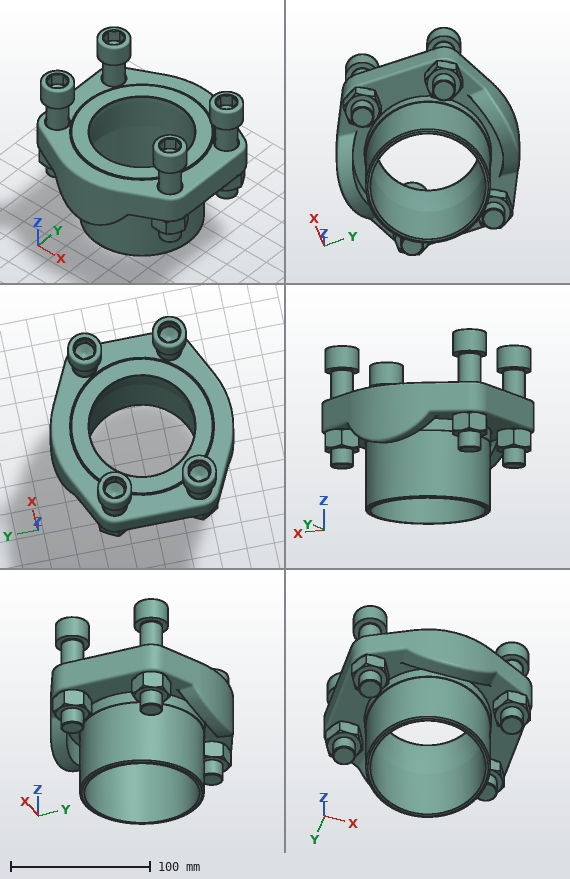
import cadquery as cq
import math

plate_top = 79.6
plate_thickness = 22.1
plate_bottom = plate_top - plate_thickness

flange_radius = 65.5
bolt_x = 53.2
bolt_y = 30.9
half_width = 67.5
corner_radius = half_width - bolt_x
bolt_hole_diameter = 17.0
bolt_hole_chamfer = 0.5
flange_bore_diameter = 91.0
edge_round = 2.0

lobe_radius = 41.6
lobe_bottom = 38.1
lobe_slope = 8.0
lobe_clearance_diameter = 108.0
lobe_root_round = 2.0
lobe_blank_length = 1.2 * flange_radius
rim_inner_radius = 62.8

collar_diameter = 101.7
collar_recess_diameter = 102.5
collar_thickness = 9.5
collar_chamfer = 0.4
collar_rise = 0.4
collar_bottom = plate_top - collar_thickness + collar_rise
neck_top = plate_top + collar_rise
neck_diameter = 90.0
tube_diameter = 89.0
tube_bore_diameter = 82.5
tube_top = 49.0
throat_diameter = 76.0
throat_length = 4.5
tube_chamfer_width = 1.4
tube_chamfer_height = 0.8

bolt_diameter = 16.0
bolt_length = 69.9
bolt_top = 118.7
head_diameter = 24.0
head_height = 16.0
head_bottom = bolt_top - head_height
bolt_bottom = head_bottom - bolt_length
head_round = 1.4
relief_diameter = 15.7
relief_height = 1.1
bolt_end_chamfer = 0.7
socket_width = 14.0
socket_depth = 9.5
socket_turn = 40.0
socket_cone_diameter = 14.3
socket_taper_angle = 30.0

nut_width = 24.0
nut_height = 13.0
nut_bottom = plate_bottom - nut_height
nut_chamfer_angle = 30.0

bolt_positions = [(sx * bolt_x, sy * bolt_y) for sx in (-1, 1) for sy in (-1, 1)]


def cylinder(diameter, bottom, top):
    """Vertical cylinder on the Z axis."""
    return cq.Workplane("XY").workplane(offset=bottom).circle(diameter / 2).extrude(top - bottom)


def cone(diameter, base, angle):
    """Cone on the Z axis, pointing down from a circular base at the given angle."""
    return (
        cq.Workplane("XZ")
        .moveTo(0, base)
        .lineTo(diameter / 2, base)
        .lineTo(0, base - diameter / 2 * math.tan(math.radians(angle)))
        .close()
        .revolve(360, (0, 0, 0), (0, 1, 0))
    )


def hexagon(width, bottom, top):
    """Hexagonal prism on the Z axis with two corners along X, sized across its flats."""
    base = cq.Workplane("XY").workplane(offset=bottom)
    return base.polygon(6, width_across_corners(width)).extrude(top - bottom)


def width_across_corners(width):
    """Distance between opposite corners of a hexagon with the given distance across flats."""
    return width / math.cos(math.radians(30))


def flange_outline():
    """Straight tangents joining the four corner arcs to the two large end arcs."""
    tangent = math.atan2(bolt_y, bolt_x) + math.acos(
        (flange_radius - corner_radius) / math.hypot(bolt_x, bolt_y)
    )
    end_x = flange_radius * math.cos(tangent)
    end_y = flange_radius * math.sin(tangent)
    corner_x = bolt_x + corner_radius * math.cos(tangent)
    corner_y = bolt_y + corner_radius * math.sin(tangent)
    middle_x = bolt_x + corner_radius * math.cos(tangent / 2)
    middle_y = bolt_y + corner_radius * math.sin(tangent / 2)
    return (
        cq.Workplane("XY", origin=(0, 0, lobe_bottom))
        .moveTo(-end_x, end_y)
        .threePointArc((0, flange_radius), (end_x, end_y))
        .lineTo(corner_x, corner_y)
        .threePointArc((middle_x, middle_y), (half_width, bolt_y))
        .lineTo(half_width, -bolt_y)
        .threePointArc((middle_x, -middle_y), (corner_x, -corner_y))
        .lineTo(end_x, -end_y)
        .threePointArc((0, -flange_radius), (-end_x, -end_y))
        .lineTo(-corner_x, -corner_y)
        .threePointArc((-middle_x, -middle_y), (-half_width, -bolt_y))
        .lineTo(-half_width, bolt_y)
        .threePointArc((-middle_x, middle_y), (-corner_x, corner_y))
        .close()
    )


def make_lobe():
    """Cylinder running toward +Y, tilted so that it hangs lowest at the flange edge."""
    slope = math.radians(lobe_slope)
    axis_height = lobe_bottom + lobe_radius / math.cos(slope) + flange_radius * math.tan(slope)
    level = cq.Workplane("XZ").circle(lobe_radius).extrude(-lobe_blank_length)
    return level.rotate((0, 0, 0), (1, 0, 0), -lobe_slope).translate((0, 0, axis_height))


def make_flange():
    """Plate with two lobes, rounded outside and bored for the weld neck and the bolts."""
    column = flange_outline().extrude(plate_top - lobe_bottom)
    slab = cylinder(4 * flange_radius, plate_bottom, plate_top)
    lobe = make_lobe()
    body = column.intersect(slab.union(lobe).union(lobe.mirror("XZ")))
    body = body.cut(cylinder(lobe_clearance_diameter, 0, plate_bottom))

    body = body.faces(">Z").edges().fillet(edge_round)
    body = round_low_edges(body, lobe_clearance_diameter / 2 + edge_round, rim_inner_radius, lobe_root_round)
    body = round_low_edges(body, rim_inner_radius, 2 * flange_radius, edge_round)

    body = body.cut(cylinder(flange_bore_diameter, plate_bottom, plate_top))
    body = body.cut(chamfered_hole(collar_recess_diameter, collar_bottom, collar_chamfer))
    bolt_hole = chamfered_hole(bolt_hole_diameter, plate_bottom, bolt_hole_chamfer)
    for x, y in bolt_positions:
        body = body.cut(bolt_hole.translate((x, y, 0)))
    return body


def chamfered_hole(diameter, bottom, chamfer):
    """Cutter for a hole that opens with a 45 degree chamfer at the top of the plate."""
    hole = cylinder(diameter, bottom, plate_top)
    return hole.union(cone(diameter + 2 * chamfer, plate_top, 45))


def round_low_edges(body, inner_radius, outer_radius, size):
    """Round the edges on the underside whose midpoint is between two distances from the Z axis."""
    edges = []
    for edge in body.edges().vals():
        middle = edge.positionAt(0.5)
        distance = math.hypot(middle.x, middle.y)
        if middle.z < plate_bottom + 0.01 and inner_radius < distance < outer_radius:
            edges.append(edge)
    return body.newObject(edges).fillet(size)


def make_weld_neck():
    """Collar, neck and tube in one piece, with a bore widening from the throat to the tube."""
    profile = (
        cq.Workplane("XZ")
        .moveTo(throat_diameter / 2 + collar_chamfer, neck_top)
        .lineTo(collar_diameter / 2 - collar_chamfer, neck_top)
        .lineTo(collar_diameter / 2, neck_top - collar_chamfer)
        .lineTo(collar_diameter / 2, collar_bottom)
        .lineTo(neck_diameter / 2, collar_bottom)
        .lineTo(neck_diameter / 2, tube_top)
        .lineTo(tube_diameter / 2, tube_top)
        .lineTo(tube_diameter / 2, tube_chamfer_height)
        .lineTo(tube_diameter / 2 - tube_chamfer_width, 0)
        .lineTo(tube_bore_diameter / 2, 0)
        .lineTo(tube_bore_diameter / 2, tube_top)
        .lineTo(throat_diameter / 2, neck_top - throat_length)
        .lineTo(throat_diameter / 2, neck_top - collar_chamfer)
        .close()
    )
    return profile.revolve(360, (0, 0, 0), (0, 1, 0))


def make_bolt(x, y):
    """Socket head bolt with its head on top and a shallow relief under the head."""
    relief_bottom = head_bottom - relief_height
    shank = cylinder(bolt_diameter, bolt_bottom, relief_bottom).faces("<Z").chamfer(bolt_end_chamfer)
    relief = cylinder(relief_diameter, relief_bottom, head_bottom)
    head = cylinder(head_diameter, head_bottom, bolt_top).faces(">Z").edges().fillet(head_round)

    socket_bottom = bolt_top - socket_depth
    socket = hexagon(socket_width, socket_bottom, bolt_top).rotate((0, 0, 0), (0, 0, 1), socket_turn)
    mouth = cone(width_across_corners(socket_width), bolt_top, socket_taper_angle)
    point = cone(socket_cone_diameter, socket_bottom, socket_taper_angle)

    bolt = head.union(relief).union(shank)
    return bolt.cut(socket).cut(mouth).cut(point).translate((x, y, 0))


def make_nut(x, y):
    """Hexagon nut against the plate underside, with its corners turned down at both ends."""
    tip_radius = width_across_corners(nut_width) / 2
    flat_radius = nut_width / 2
    drop = (tip_radius - flat_radius) * math.tan(math.radians(nut_chamfer_angle))
    envelope = (
        cq.Workplane("XZ")
        .moveTo(0, plate_bottom)
        .lineTo(flat_radius, plate_bottom)
        .lineTo(tip_radius, plate_bottom - drop)
        .lineTo(tip_radius, nut_bottom + drop)
        .lineTo(flat_radius, nut_bottom)
        .lineTo(0, nut_bottom)
        .close()
        .revolve(360, (0, 0, 0), (0, 1, 0))
    )
    thread = cylinder(bolt_diameter, nut_bottom, plate_bottom)
    nut = hexagon(nut_width, nut_bottom, plate_bottom).intersect(envelope).cut(thread)
    return nut.translate((x, y, 0))


flange = make_flange()
weld_neck = make_weld_neck()
bolts = [make_bolt(x, y) for x, y in bolt_positions]
nuts = [make_nut(x, y) for x, y in bolt_positions]

result = cq.Compound.makeCompound(
    [
        flange.val(),
        weld_neck.val(),
        *[bolt.val() for bolt in bolts],
        *[nut.val() for nut in nuts],
    ]
)